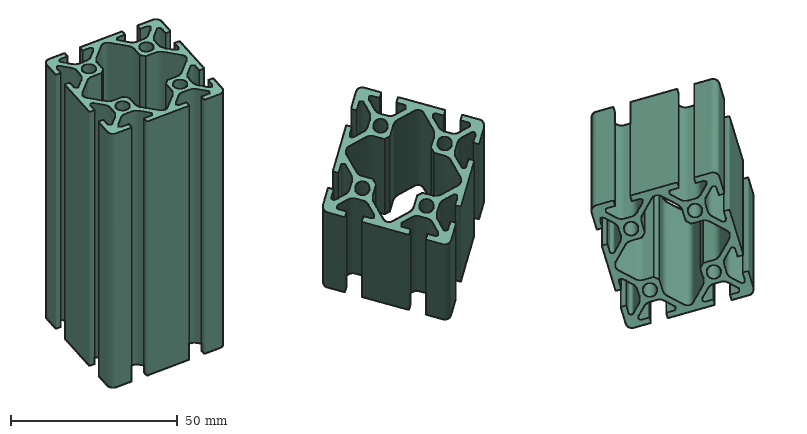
import cadquery as cq
import math

SIDE = 40.0
LENGTH = 100.0
CORNER_RADIUS = 2.0

CORE_OFFSET = SIDE / 4
CORE_HOLE_DIAMETER = 4.3
CORE_HALF_WIDTH = 3.6
CORE_CHAMFER = 1.3

WEB_THICKNESS = 1.8
WEB_SHIFT = WEB_THICKNESS / math.sqrt(2)

SLOT_OPENING = 5.2
LIP_THICKNESS = 1.8
LIP_EDGE_RADIUS = 0.3
SLOT_TIP_RADIUS = 0.8
SLOT_FLOOR_RADIUS = 2.9

CAVITY_TIP_RADIUS = 2.0
CAVITY_CORE_RADIUS = 3.2

HALF_SIDE = SIDE / 2
SLOT_FLOOR = CORE_OFFSET + CORE_HALF_WIDTH
LIP_FACE = HALF_SIDE - LIP_THICKNESS
QUARTER_TURNS = (0, 90, 180, 270)


def half_gap(distance_from_core):
    """Half the gap between two webs at a distance from the core centre."""
    return distance_from_core - WEB_SHIFT


def outer_bar():
    bar = cq.Workplane("XY").rect(SIDE, SIDE).extrude(LENGTH)
    return bar.edges("|Z").fillet(CORNER_RADIUS)


def t_slot(center_x):
    """Cutter for one slot in the +Y side: a dovetail pocket behind a narrow opening."""
    lip_half = half_gap(LIP_FACE - CORE_OFFSET)
    floor_half = half_gap(SLOT_FLOOR - CORE_OFFSET)
    pocket = (
        cq.Workplane("XY")
        .polyline(
            [
                (center_x - lip_half, LIP_FACE),
                (center_x + lip_half, LIP_FACE),
                (center_x + floor_half, SLOT_FLOOR),
                (center_x - floor_half, SLOT_FLOOR),
            ]
        )
        .close()
        .extrude(LENGTH)
    )
    pocket = pocket.faces(">Y").edges("|Z").fillet(SLOT_TIP_RADIUS)
    pocket = pocket.faces("<Y").edges("|Z").fillet(SLOT_FLOOR_RADIUS)

    opening = (
        cq.Workplane("XY")
        .center(center_x, HALF_SIDE - LIP_THICKNESS / 2)
        .rect(SLOT_OPENING, LIP_THICKNESS)
        .extrude(LENGTH)
    )
    return pocket.union(opening)


def central_cavity():
    """Cutter for the star-shaped cavity between the four cores."""
    tip_distance = 2 * CORE_OFFSET - WEB_SHIFT
    diamond = (
        cq.Workplane("XY")
        .polyline([(tip_distance, 0), (0, tip_distance), (-tip_distance, 0), (0, -tip_distance)])
        .close()
        .extrude(LENGTH)
        .edges("|Z")
        .fillet(CAVITY_TIP_RADIUS)
    )
    core_face = CORE_OFFSET - CORE_HALF_WIDTH
    block_width = HALF_SIDE - core_face
    block_spacing = HALF_SIDE + core_face
    cores = (
        cq.Workplane("XY")
        .rect(block_spacing, block_spacing, forConstruction=True)
        .vertices()
        .rect(block_width, block_width)
        .extrude(LENGTH)
        .edges("|Z")
        .chamfer(CORE_CHAMFER)
    )
    cavity = diamond.cut(cores)

    web_face = tip_distance - core_face
    for sign_x in (-1, 1):
        for sign_y in (-1, 1):
            for x, y in ((core_face, web_face), (web_face, core_face)):
                corner = (sign_x * x, sign_y * y, LENGTH / 2)
                cavity = cavity.edges(cq.NearestToPointSelector(corner)).fillet(CAVITY_CORE_RADIUS)
    return cavity


def core_holes():
    return (
        cq.Workplane("XY")
        .rect(2 * CORE_OFFSET, 2 * CORE_OFFSET, forConstruction=True)
        .vertices()
        .circle(CORE_HOLE_DIAMETER / 2)
        .extrude(LENGTH)
    )


def round_lip_edges(bar):
    """Round the outer edges of the lips on both sides of every slot opening."""
    for slot_x in (-CORE_OFFSET, CORE_OFFSET):
        for edge_x in (slot_x - SLOT_OPENING / 2, slot_x + SLOT_OPENING / 2):
            for side in (-HALF_SIDE, HALF_SIDE):
                for x, y in ((edge_x, side), (side, edge_x)):
                    edge = cq.NearestToPointSelector((x, y, LENGTH / 2))
                    bar = bar.edges(edge).fillet(LIP_EDGE_RADIUS)
    return bar


profile = outer_bar().cut(central_cavity()).cut(core_holes())
for angle in QUARTER_TURNS:
    for slot_x in (-CORE_OFFSET, CORE_OFFSET):
        profile = profile.cut(t_slot(slot_x).rotate((0, 0, 0), (0, 0, 1), angle))

result = round_lip_edges(profile)